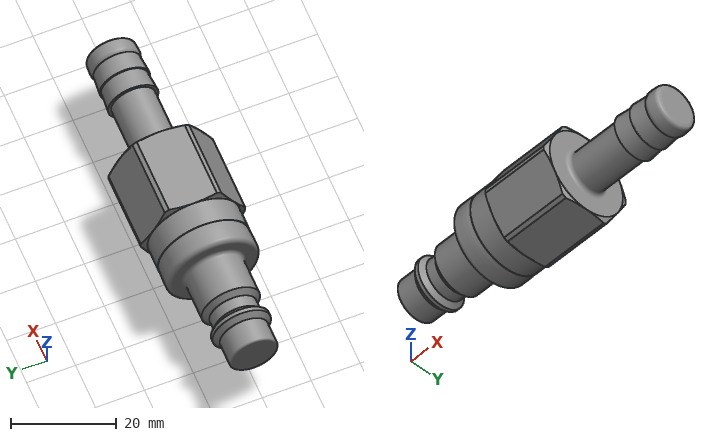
import cadquery as cq
import math

collar_start = 5.05
collar_crest_start = 6.1
collar_crest_end = 7.0
groove_start = 8.1
groove_end = 10.5
shank_start = 11.6
body_start = 20.0
rim_end = 23.05
band_start = 23.9
band_end = 25.0
hex_start = 30.0
hex_end = 47.0
barb_start = 60.3
barb_length = 4.2
barb_step = 0.35
bulb_start = 68.4
bulb_crest = 70.1
length = 72.0

tip_radius = 9.9 / 2
groove_radius = 9.7 / 2
shank_radius = 12.0 / 2
rim_radius = 19.0 / 2
body_radius = 18.9 / 2
band_radius = 18.7 / 2
stem_radius = 9.1 / 2
barb_radius = 10.4 / 2
barb_root_radius = groove_radius
bulb_end_radius = 7.85 / 2

across_flats = 19.0
corner_diameter = 21.4
hex_chamfer_length = 0.4

tip_round = 0.4
neck_round = 0.8
body_round = 1.0
stem_round = 1.0
barb_land = 0.2

diagonal = math.sqrt(0.5)


def round_over(profile, x, radius, size):
    """Convex quarter round from an end face at x up to a cylinder."""
    middle = (x + size * (1 - diagonal), radius - size * (1 - diagonal))
    return profile.lineTo(x, radius - size).threePointArc(middle, (x + size, radius))


def make_plug():
    """Plug with its sealing collar, groove, shank and large round body."""
    profile = cq.Workplane("XY").moveTo(0, 0)
    profile = round_over(profile, 0, tip_radius, tip_round)
    profile = (
        profile.lineTo(collar_start, tip_radius)
        .lineTo(collar_crest_start, shank_radius)
        .lineTo(collar_crest_end, shank_radius)
        .lineTo(groove_start, groove_radius)
        .lineTo(groove_end, groove_radius)
        .lineTo(shank_start, shank_radius)
        .lineTo(body_start - neck_round, shank_radius)
        .threePointArc(
            (body_start - neck_round * (1 - diagonal), shank_radius + neck_round * (1 - diagonal)),
            (body_start, shank_radius + neck_round),
        )
    )
    profile = round_over(profile, body_start, rim_radius, body_round)
    profile = (
        profile.lineTo(rim_end, rim_radius)
        .lineTo(band_start, body_radius)
        .lineTo(band_end, band_radius)
        .lineTo(band_end, body_radius)
        .lineTo(hex_start, body_radius)
        .lineTo(hex_start, 0)
        .close()
    )
    return profile.revolve(360, (0, 0, 0), (1, 0, 0))


def make_hexagon():
    """Wrench hexagon with turned corners and chamfered ends."""
    hex_length = hex_end - hex_start
    sharp_diameter = across_flats / math.cos(math.pi / 6)
    prism = cq.Workplane("YZ", origin=(hex_start, 0, 0)).polygon(6, sharp_diameter).extrude(hex_length)
    corner_radius = corner_diameter / 2
    flat_radius = across_flats / 2
    envelope = (
        cq.Workplane("XY")
        .moveTo(hex_start, 0)
        .lineTo(hex_start, flat_radius)
        .lineTo(hex_start + hex_chamfer_length, corner_radius)
        .lineTo(hex_end - hex_chamfer_length, corner_radius)
        .lineTo(hex_end, flat_radius)
        .lineTo(hex_end, 0)
        .close()
        .revolve(360, (0, 0, 0), (1, 0, 0))
    )
    return prism.intersect(envelope)


def make_hose_stem():
    """Stem with two tapered barbs and a rounded bulb at the end."""
    profile = (
        cq.Workplane("XY")
        .moveTo(hex_end, 0)
        .lineTo(hex_end, stem_radius + stem_round)
        .threePointArc(
            (hex_end + stem_round * (1 - diagonal), stem_radius + stem_round * (1 - diagonal)),
            (hex_end + stem_round, stem_radius),
        )
        .lineTo(barb_start, stem_radius)
        .lineTo(barb_start, barb_radius)
        .lineTo(barb_start + barb_land, barb_radius)
    )
    second_barb = barb_start + barb_length
    profile = (
        profile.lineTo(second_barb - barb_step, barb_root_radius)
        .lineTo(second_barb, barb_root_radius)
        .lineTo(second_barb, barb_radius)
        .lineTo(second_barb + barb_land, barb_radius)
        .lineTo(bulb_start, barb_root_radius)
        .spline(
            [(bulb_crest, barb_radius), (length, bulb_end_radius)],
            tangents=[(1, 1), (0, -1)],
            includeCurrent=True,
        )
        .lineTo(length, 0)
        .close()
    )
    return profile.revolve(360, (0, 0, 0), (1, 0, 0))


result = make_plug().union(make_hexagon()).union(make_hose_stem())